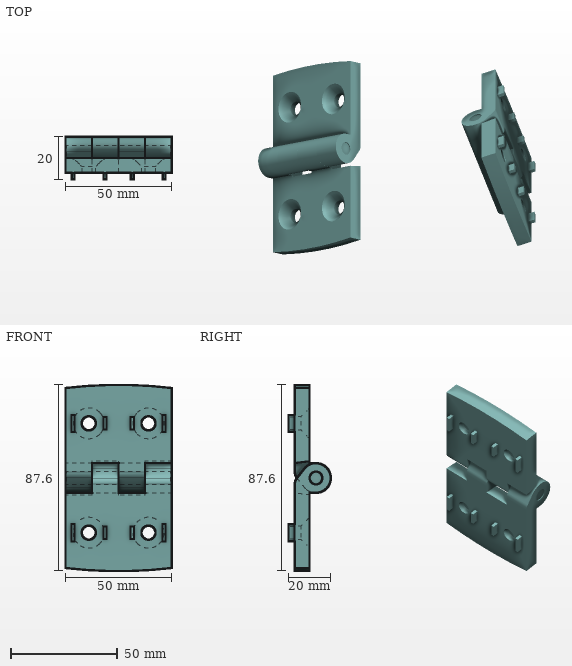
import cadquery as cq
import math

width = 50.0
half_height = 43.8
end_crown = 1.5
thickness = 7.0

knuckle_count = 4
knuckle_length = width / knuckle_count
knuckle_radius = 7.0
axis_y = 10.0
pin_radius = 3.0
pin_end_recess = 0.5
shoulder_z = 1.3
shoulder_fillet = 4.0
slot_back_drop = 0.9

row_z = 25.7
hole_x = 14.0
hole_diameter = 6.5
hole_straight_depth = 3.0
peg_width = 1.5
peg_depth = 3.0
outer_peg_x = 21.4
outer_peg_height = 8.1
inner_peg_x = 6.4
inner_peg_height = 6.0


def prism_along_x(profile, x_start, length):
    """Extrude a closed (Y, Z) profile along +X from x_start."""
    return profile.extrude(length).translate((x_start, 0, 0))


def plate():
    """Upper plate: straight sides and a crowned top, standing on the knuckles' upper side."""
    corner_z = half_height - end_crown
    return (
        cq.Workplane("XZ")
        .moveTo(-width / 2, knuckle_radius)
        .lineTo(-width / 2, corner_z)
        .threePointArc((0, half_height), (width / 2, corner_z))
        .lineTo(width / 2, knuckle_radius)
        .close()
        .extrude(-thickness)
    )


def slot_wedge(x_start):
    """Sloping floor of the gap that clears one knuckle of the other leaf."""
    profile = (
        cq.Workplane("YZ")
        .moveTo(0, knuckle_radius)
        .lineTo(thickness, knuckle_radius + slot_back_drop)
        .lineTo(thickness, knuckle_radius)
        .close()
    )
    return prism_along_x(profile, x_start, knuckle_length)


def knuckle(x_start):
    """Barrel whose lower side runs tangentially up to a rounded edge at the front face."""
    shoulder_distance = math.hypot(axis_y, shoulder_z)
    tangent_angle = (
        math.acos(knuckle_radius / shoulder_distance) - math.atan2(shoulder_z, axis_y)
    )
    tangent_y = axis_y - knuckle_radius * math.cos(tangent_angle)
    tangent_z = -knuckle_radius * math.sin(tangent_angle)

    fillet_setback = shoulder_fillet * math.tan(tangent_angle / 2)
    fillet_top_z = shoulder_z + fillet_setback
    fillet_end = (
        fillet_setback * math.sin(tangent_angle),
        shoulder_z - fillet_setback * math.cos(tangent_angle),
    )
    fillet_middle = (
        shoulder_fillet * (1 - math.cos(tangent_angle / 2)),
        fillet_top_z - shoulder_fillet * math.sin(tangent_angle / 2),
    )

    profile = (
        cq.Workplane("YZ")
        .moveTo(0, knuckle_radius)
        .lineTo(0, fillet_top_z)
        .threePointArc(fillet_middle, fillet_end)
        .lineTo(tangent_y, tangent_z)
        .threePointArc((axis_y + knuckle_radius, 0), (axis_y, knuckle_radius))
        .close()
    )
    return prism_along_x(profile, x_start, knuckle_length)


def pin_cylinder(length):
    """Cylinder on the hinge axis, centred across the width; shapes the pin and its bore."""
    profile = cq.Workplane("YZ").center(axis_y, 0).circle(pin_radius)
    return prism_along_x(profile, -length / 2, length)


def screw_holes():
    """Two through holes, each with a 90 degree countersink at the back face."""
    countersink_depth = thickness - hole_straight_depth
    countersink_radius = hole_diameter / 2 + countersink_depth
    hole_profile = (
        cq.Workplane("XY")
        .moveTo(0, 0)
        .lineTo(hole_diameter / 2, 0)
        .lineTo(hole_diameter / 2, hole_straight_depth)
        .lineTo(countersink_radius, thickness)
        .lineTo(0, thickness)
        .close()
    )
    hole = hole_profile.revolve(360, (0, 0, 0), (0, 1, 0))
    return hole.translate((-hole_x, 0, row_z)).union(hole.translate((hole_x, 0, row_z)))


def peg_pair(peg_x, peg_height):
    """Two rectangular pegs standing on the front face."""
    return (
        cq.Workplane("XZ")
        .pushPoints([(-peg_x, row_z), (peg_x, row_z)])
        .rect(peg_width, peg_height)
        .extrude(peg_depth)
    )


def upper_leaf():
    """Leaf whose own knuckles alternate with gaps for those of the other leaf."""
    body = plate()
    for index in range(knuckle_count):
        x_start = -width / 2 + index * knuckle_length
        if index % 2 == 0:
            body = body.union(knuckle(x_start))
        else:
            body = body.cut(slot_wedge(x_start))
    body = body.cut(pin_cylinder(width)).cut(screw_holes())
    body = body.union(peg_pair(outer_peg_x, outer_peg_height))
    return body.union(peg_pair(inner_peg_x, inner_peg_height))


leaf_above = upper_leaf()
leaf_below = leaf_above.rotate((0, 0, 0), (0, 1, 0), 180)
hinge_pin = pin_cylinder(width - 2 * pin_end_recess)

result = cq.Compound.makeCompound([leaf_above.val(), leaf_below.val(), hinge_pin.val()])